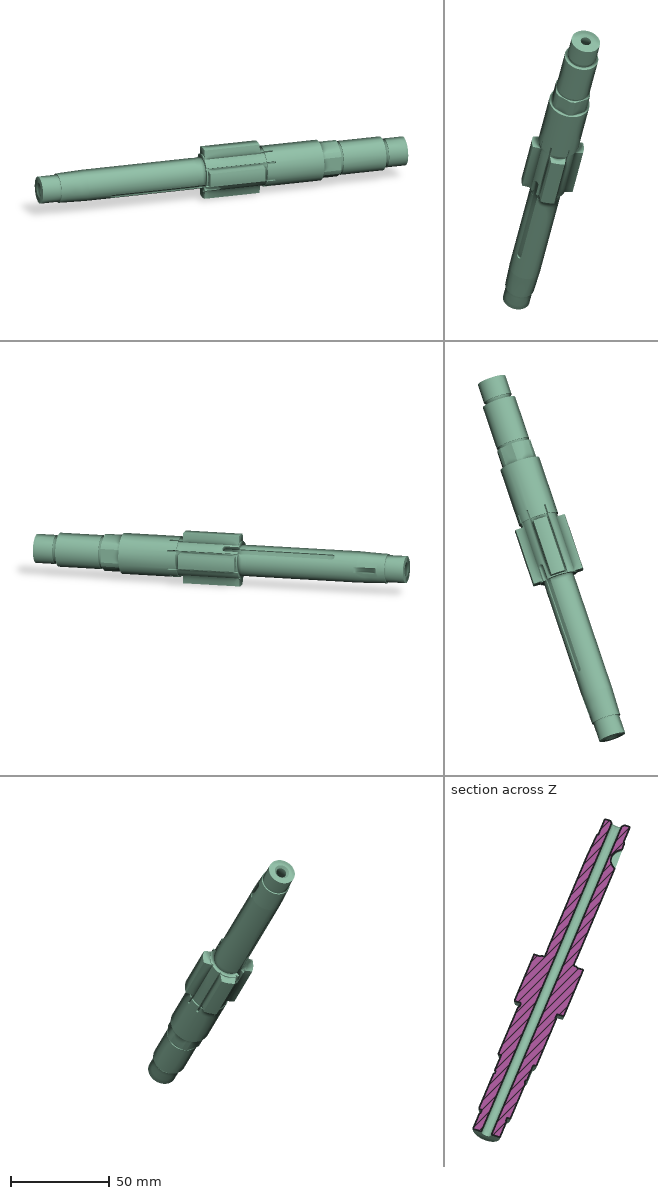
import cadquery as cq
import math

length = 195.5

nose_dia = 13.9
nose_end = 9.8
taper_small_dia = 15.0
taper_end = 24.2
journal_dia = 16.0
journal_end = 82.7
runout_dia = 15.8
runout_end = 87.0
spline_root_dia = 19.7
spline_root_end = 119.3
collar_dia = 21.0
collar_end = 149.5
hex_round_dia = 19.0
hex_end = 159.3
relief_dia = 16.5
relief_end = 160.7
seat_dia = 17.4
seat_end = 183.4
ring_groove_dia = 13.9
ring_groove_end = 185.3
tail_dia = 14.9

hex_across_flats = 17.5
hex_sides = 6

bore_dia = 5.3
countersink_dia = 7.6
countersink_depth = 1.2

spline_count = 4
spline_tip_dia = 27.0
spline_root_width = 8.2
spline_flank_angle = 8.0
spline_start = 87.5
spline_end = 117.1

slot_width = 1.0
slot_floor_radius = 9.2
slot_angle = 27.0
slot_end = 124.0

keyway_width = 3.0
keyway_floor_radius = 7.0
keyway_start = 36.5
keyway_end = 95.5
keyway_tilts = (-45.0, 135.0)

woodruff_width = 3.0
woodruff_radius = 6.5
woodruff_depth = 3.7
woodruff_station = 20.0


def cylinder(diameter, start, end):
    """Solid cylinder along Y between two stations."""
    face = cq.Workplane("XZ", origin=(0, start, 0)).circle(diameter / 2)
    return face.extrude(start - end)


def box(x_min, x_max, y_min, y_max, z_min, z_max):
    """Box given by its limits."""
    size = (x_max - x_min, y_max - y_min, z_max - z_min)
    return cq.Workplane("XY").box(*size, centered=False).translate((x_min, y_min, z_min))


def about_axis(solid, angle):
    """Solid turned about the shaft axis."""
    return solid.rotate((0, 0, 0), (0, 1, 0), angle)


def make_turned_body():
    """Stepped body of revolution, including the blank for the hexagon."""
    steps = [
        (nose_dia, nose_dia, 0, nose_end),
        (taper_small_dia, journal_dia, nose_end, taper_end),
        (journal_dia, journal_dia, taper_end, journal_end),
        (runout_dia, runout_dia, journal_end, runout_end),
        (spline_root_dia, spline_root_dia, runout_end, spline_root_end),
        (collar_dia, collar_dia, spline_root_end, collar_end),
        (hex_round_dia, hex_round_dia, collar_end, hex_end),
        (relief_dia, relief_dia, hex_end, relief_end),
        (seat_dia, seat_dia, relief_end, seat_end),
        (ring_groove_dia, ring_groove_dia, seat_end, ring_groove_end),
        (tail_dia, tail_dia, ring_groove_end, length),
    ]
    outline = [(0, 0)]
    for start_dia, end_dia, start, end in steps:
        for point in ((start_dia / 2, start), (end_dia / 2, end)):
            if point != outline[-1]:
                outline.append(point)
    outline.append((0, length))
    return cq.Workplane("XY").polyline(outline).close().revolve(360, (0, 0, 0), (0, 1, 0))


def make_hex_waste():
    """Material outside the hexagon, over the length of the hexagonal section."""
    corner_dia = hex_across_flats / math.cos(math.pi / hex_sides)
    plane = cq.Workplane("XZ", origin=(0, collar_end, 0)).transformed(rotate=(0, 0, 90))
    hexagon = plane.polygon(hex_sides, corner_dia).extrude(collar_end - hex_end)
    return cylinder(collar_dia, collar_end, hex_end).cut(hexagon)


def make_bore():
    """Through bore with a countersunk mouth at the -Y end."""
    outline = [
        (0, 0),
        (countersink_dia / 2, 0),
        (bore_dia / 2, countersink_depth),
        (bore_dia / 2, length),
        (0, length),
    ]
    return cq.Workplane("XY").polyline(outline).close().revolve(360, (0, 0, 0), (0, 1, 0))


def make_spline():
    """Tapered spline on the +Z side with a rounded tip, reaching down into the shaft."""
    root_x = spline_root_width / 2
    root_z = math.sqrt((spline_root_dia / 2) ** 2 - root_x ** 2)
    tip_z = spline_tip_dia / 2
    tip_x = root_x - (tip_z - root_z) * math.tan(math.radians(spline_flank_angle))
    right_side = [(root_x, 0), (root_x, root_z), (tip_x, tip_z)]
    left_side = [(-x, z) for x, z in reversed(right_side)]
    plane = cq.Workplane("XZ", origin=(0, spline_start, 0))
    blank = plane.polyline(right_side + left_side).close().extrude(spline_start - spline_end)
    return blank.intersect(cylinder(spline_tip_dia, spline_start, spline_end))


def make_spline_slots():
    """Pair of radial slots flanking the +Z spline."""
    half_width = slot_width / 2
    slot = box(-half_width, half_width, runout_end, slot_end, slot_floor_radius, collar_dia / 2)
    return about_axis(slot, slot_angle).union(about_axis(slot, -slot_angle))


def make_keyway():
    """Round-ended keyway cutter on the +Z side."""
    slot_length = keyway_end - keyway_start
    plane = cq.Workplane("XY", origin=(0, (keyway_start + keyway_end) / 2, keyway_floor_radius))
    return plane.slot2D(slot_length, keyway_width, 90).extrude(collar_dia / 2 - keyway_floor_radius)


def make_woodruff_seat():
    """Disc-shaped cutter sunk into the -X side of the taper."""
    taper_fraction = (woodruff_station - nose_end) / (taper_end - nose_end)
    local_dia = taper_small_dia + (journal_dia - taper_small_dia) * taper_fraction
    disc_x = -(local_dia / 2 - woodruff_depth + woodruff_radius)
    plane = cq.Workplane("XY", origin=(disc_x, woodruff_station, -woodruff_width / 2))
    return plane.circle(woodruff_radius).extrude(woodruff_width)


shaft = make_turned_body().cut(make_hex_waste())
for index in range(spline_count):
    turn = index * 360.0 / spline_count
    shaft = shaft.cut(about_axis(make_spline_slots(), turn))
    shaft = shaft.union(about_axis(make_spline(), turn))
for tilt in keyway_tilts:
    shaft = shaft.cut(about_axis(make_keyway(), tilt))
shaft = shaft.cut(make_woodruff_seat())
result = shaft.cut(make_bore())